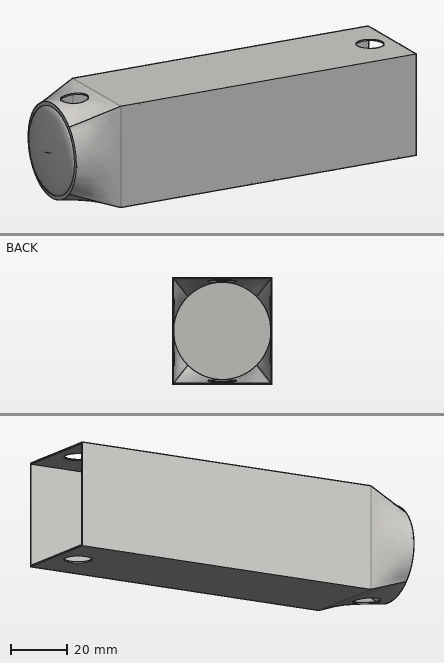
import cadquery as cq
import math

length = 141.0
width = 35.5
height = 38.0
wall = 0.5
nose_length = 18.0
dome_radius = 16.4
dome_height = 3.0
hole_diameter = 10.0
hole_setback = 9.0

rim_y = dome_height
nose_y = rim_y + nose_length
rim_radius = width / 2

inner_width = width - 2 * wall
inner_height = height - 2 * wall
bore_radius = rim_radius - wall


def tube_body(body_width, body_height):
    """Rectangular bar from the start of the nose to the back end."""
    bar = cq.Workplane("XY").box(
        body_width, length - nose_y, body_height, centered=(True, False, True)
    )
    return bar.translate((0, nose_y, 0))


def rectangle_wire(rectangle_width, rectangle_height, y):
    """Rectangle in a plane across the Y axis."""
    corners = [
        cq.Vector(side_x * rectangle_width / 2, y, side_z * rectangle_height / 2)
        for side_x, side_z in ((1, 1), (-1, 1), (-1, -1), (1, -1))
    ]
    return cq.Wire.makePolygon(corners, close=True)


def circle_wire(radius, y):
    """Circle in four arcs that meet on the diagonals, one for each side of the rectangle."""

    def point_at(degrees):
        angle = math.radians(degrees)
        return cq.Vector(radius * math.cos(angle), y, radius * math.sin(angle))

    arcs = [
        cq.Edge.makeThreePointArc(point_at(start), point_at(start + 45), point_at(start + 90))
        for start in (45, 135, 225, 315)
    ]
    return cq.Wire.assembleEdges(arcs)


def nose(back_width, back_height, front_radius, front_y):
    """Transition from a rectangle at the start of the nose to a circle in front of it."""
    back = rectangle_wire(back_width, back_height, nose_y)
    front = circle_wire(front_radius, front_y)
    return cq.Workplane(cq.Solid.makeLoft([back, front], True))


def dome():
    """Quarter-ellipse profile turned about the Y axis, bulging forward from the rim plane."""
    return (
        cq.Workplane("XY")
        .ellipseArc(dome_radius, dome_height, 270, 360, startAtCurrent=True)
        .lineTo(0, rim_y)
        .close()
        .revolve(360, (0, 0), (0, 1))
    )


def cross_hole(y):
    """Vertical cutter through the top and bottom walls."""
    return cq.Workplane("XY").center(0, y).circle(hole_diameter / 2).extrude(height, both=True)


outside = tube_body(width, height)
outside = outside.union(nose(width, height, rim_radius, rim_y))
outside = outside.union(dome())

cavity = tube_body(inner_width, inner_height)
cavity = cavity.union(nose(inner_width, inner_height, bore_radius, rim_y + wall))

result = outside.cut(cavity)
for hole_y in (length - hole_setback, nose_y - hole_setback):
    result = result.cut(cross_hole(hole_y))